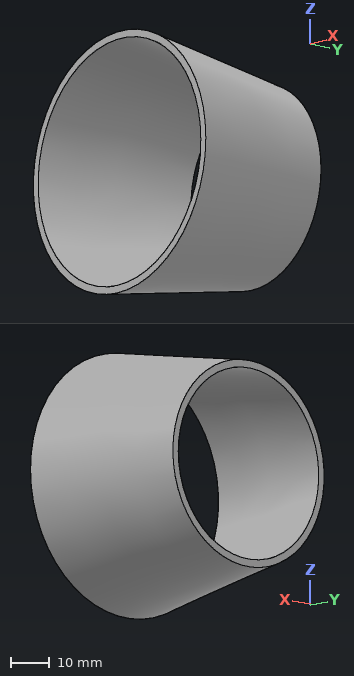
import cadquery as cq

LENGTH = 45.0
WIDE_OUTER_DIAMETER = 69.0
NARROW_OUTER_DIAMETER = 53.95
WALL = 2.0

wide_outer_radius = WIDE_OUTER_DIAMETER / 2
narrow_outer_radius = NARROW_OUTER_DIAMETER / 2
wide_y = -LENGTH / 2
narrow_y = LENGTH / 2

wall_section = [
    (wide_outer_radius - WALL, wide_y),
    (wide_outer_radius, wide_y),
    (narrow_outer_radius, narrow_y),
    (narrow_outer_radius - WALL, narrow_y),
]

result = cq.Workplane("XY").polyline(wall_section).close().revolve(360, (0, 0, 0), (0, 1, 0))